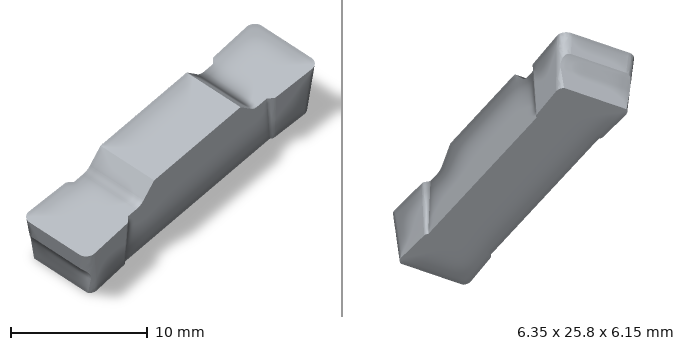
import cadquery as cq

length = 25.8
height = 6.15
body_width = 5.2
half_length = length / 2

land_height = 4.65
ramp_top_setback = 8.1
ramp_root_radius = 1.03

head_width = 6.35
head_rear_width = 6.05
flank_length = 4.75
flank_overrun = 0.03
corner_radius = 0.77
shoulder_radius = 0.39
end_draft = 0.57
side_draft = 0.245
flank_rear_draft = 0.08

relief_depth = 0.72
relief_arc_bottom = 1.75
relief_edge_setback = 0.18
relief_edge_height = 2.92
cut_clearance = 0.52
pick_margin = 0.25


def make_body():
    """Central bar between the heads, with its raised block."""
    bar_end = half_length - flank_length / 2
    ramp_top = half_length - ramp_top_setback
    ramp_root = ramp_top + height - land_height
    bar = (
        cq.Workplane("YZ")
        .polyline([
            (-bar_end, 0),
            (bar_end, 0),
            (bar_end, land_height),
            (ramp_root, land_height),
            (ramp_top, height),
            (-ramp_top, height),
            (-ramp_root, land_height),
            (-bar_end, land_height),
        ])
        .close()
        .extrude(body_width / 2, both=True)
    )
    root_edges = cq.selectors.BoxSelector(
        (-body_width, -ramp_root - pick_margin, land_height - pick_margin),
        (body_width, ramp_root + pick_margin, land_height + pick_margin),
    )
    return bar.edges("|X").edges(root_edges).fillet(ramp_root_radius)


def head_outline(end_y, half_front, rear_y, half_rear):
    """Tapered head section; its 45 degree shoulders run in to the body sides."""
    half_body = body_width / 2
    neck_y = rear_y + half_body - half_rear
    return [
        (half_body, neck_y),
        (half_rear, rear_y),
        (half_front, end_y),
        (-half_front, end_y),
        (-half_rear, rear_y),
        (-half_body, neck_y),
    ]


def round_head_edges(head, y_min, y_max, radius):
    """Round the upright head edges whose centres lie between two Y values."""
    edges = cq.selectors.BoxSelector(
        (-head_width, y_min, land_height / 4),
        (head_width, y_max, land_height * 3 / 4),
    )
    return head.edges(edges).fillet(radius)


def make_relief():
    """Cutter that undercuts the +Y end below its cutting face."""
    face_y = half_length - relief_depth
    edge_y = half_length - relief_edge_setback
    outside_y = half_length + cut_clearance
    return (
        cq.Workplane("YZ")
        .moveTo(face_y, -cut_clearance)
        .lineTo(face_y, relief_arc_bottom)
        .tangentArcPoint((edge_y, relief_edge_height), relative=False)
        .lineTo(outside_y, relief_edge_height)
        .lineTo(outside_y, -cut_clearance)
        .close()
        .extrude(head_width, both=True)
    )


def make_head():
    """Cutting head at the +Y end."""
    half_front = head_width / 2 + flank_overrun
    half_rear = head_rear_width / 2
    rear_y = half_length - flank_length
    bottom = head_outline(
        half_length - end_draft,
        half_front - side_draft,
        rear_y + flank_rear_draft,
        half_rear - side_draft,
    )
    top = head_outline(half_length, half_front, rear_y, half_rear)
    head = (
        cq.Workplane("XY")
        .polyline(bottom)
        .close()
        .workplane(offset=land_height)
        .polyline(top)
        .close()
        .loft(ruled=True)
    )
    corner_zone = half_length - corner_radius
    head = round_head_edges(head, corner_zone, half_length, corner_radius)
    head = round_head_edges(head, rear_y - shoulder_radius / 2, rear_y + shoulder_radius, shoulder_radius)
    return head.cut(make_relief())


head = make_head()
result = make_body().union(head).union(head.mirror("XZ"))